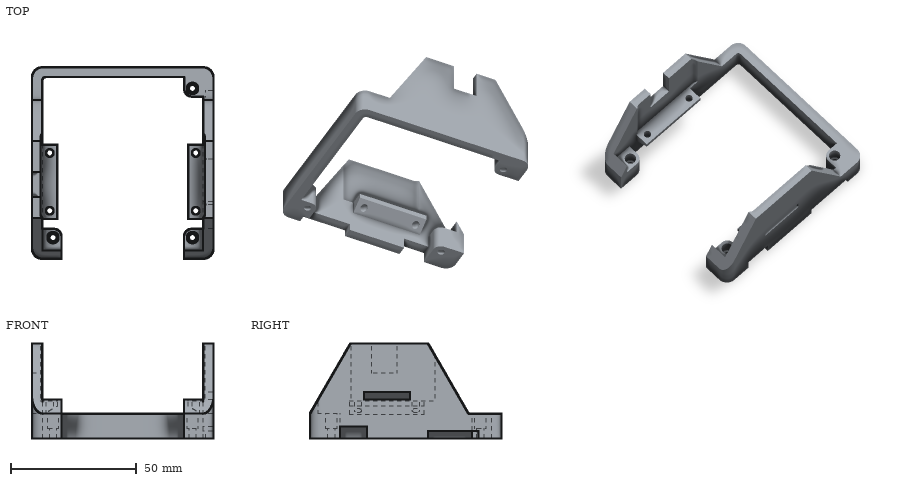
import cadquery as cq
import math

WIDTH = 72.3
LENGTH = 76.3
HEIGHT = 38.0
BASE_HEIGHT = 10.0
HALF_WIDTH = WIDTH / 2

OUTER_RADIUS = 4.25
SIDE_WALL = 4.2
BACK_WALL = 4.0
FRONT_WALL = 3.25
BACK_LEFT_RADIUS = 1.25
INNER_X = HALF_WIDTH - SIDE_WALL

CHEEK_ANGLE = 60.0
CHEEK_RUN = (HEIGHT - BASE_HEIGHT) / math.tan(math.radians(CHEEK_ANGLE))
CHEEK_BACK_Y = 63.15

FRONT_BOSS_X = HALF_WIDTH - 11.85
FRONT_BOSS_Y = 12.0
BACK_BOSS_X = HALF_WIDTH - 11.75
BACK_BOSS_Y = 64.5
BOSS_RADIUS = 3.25
BOSS_HOLE_X = HALF_WIDTH - 8.4
FRONT_BOSS_HOLE_Y = 8.45
BACK_BOSS_HOLE_Y = 67.85
SCREW_DIAMETER = 2.9
INSERT_DIAMETER = 4.5
INSERT_DEPTH = 6.0

LEDGE_TOP = 15.0
LEDGE_TIP_THICKNESS = 2.0
LEDGE_TIP_X = HALF_WIDTH - 10.15
LEDGE_FRONT_Y = 15.85
LEDGE_LENGTH = 29.6
LEDGE_ANGLE = 30.0
LEDGE_HOLE_X = HALF_WIDTH - 7.1
LEDGE_HOLE_PITCH = 23.0
LEDGE_MID_Y = LEDGE_FRONT_Y + LEDGE_LENGTH / 2

RECESS_WALL = 3.35
RECESS_X = HALF_WIDTH - RECESS_WALL
RECESS_FRONT_Y = 15.7
RECESS_BACK_Y = 50.4
RECESS_RADIUS = 2.5

NOTCH_WIDTH = 10.1
NOTCH_DEPTH = 11.85
NOTCH_MID_Y = 29.6
SLOT_LENGTH = 18.2
SLOT_HEIGHT = 3.1
SLOT_BOTTOM = 15.6

FRONT_GAP = (FRONT_BOSS_Y, 22.8)
FRONT_GAP_HEIGHT = 4.8
BACK_GAP = (47.0, 67.0)
BACK_GAP_HEIGHT = 3.0
BACK_BOSS_ROOT_X = HALF_WIDTH - 3.3


def box(x_range, y_range, z_range):
    """Axis-aligned block between the given limits."""
    lengths = [high - low for low, high in (x_range, y_range, z_range)]
    corner = (x_range[0], y_range[0], z_range[0])
    return cq.Workplane("XY").box(*lengths, centered=False).translate(corner)


def vertical_cylinder(diameter, x, y, bottom, top):
    return cq.Workplane("XY", origin=(x, y, bottom)).circle(diameter / 2).extrude(top - bottom)


def mirrored(solid):
    """The solid together with its copy on the left side."""
    return solid.union(solid.mirror("YZ"))


def frame():
    """Full-height walls with an open front, before the side profile is applied."""
    block = box((-HALF_WIDTH, HALF_WIDTH), (0, LENGTH), (0, HEIGHT)).edges("|Z").fillet(OUTER_RADIUS)
    inside = box((-INNER_X, INNER_X), (FRONT_WALL, LENGTH - BACK_WALL), (0, HEIGHT))
    inside = inside.edges("|Z and <X and >Y").fillet(BACK_LEFT_RADIUS)
    mouth = box((-FRONT_BOSS_X, FRONT_BOSS_X), (0, FRONT_WALL), (0, HEIGHT))
    return block.cut(inside).cut(mouth)


def side_profile():
    """Side outline: low frame, with cheeks that slope up to a flat top."""
    outline = [
        (0, 0),
        (LENGTH, 0),
        (LENGTH, BASE_HEIGHT),
        (CHEEK_BACK_Y, BASE_HEIGHT),
        (CHEEK_BACK_Y - CHEEK_RUN, HEIGHT),
        (CHEEK_RUN, HEIGHT),
        (0, BASE_HEIGHT),
    ]
    return cq.Workplane("YZ", origin=(-HALF_WIDTH, 0, 0)).polyline(outline).close().extrude(WIDTH)


def front_boss():
    boss = box((FRONT_BOSS_X, INNER_X), (FRONT_WALL, FRONT_BOSS_Y), (0, BASE_HEIGHT))
    return boss.edges("|Z and <X and >Y").fillet(BOSS_RADIUS)


def back_boss():
    boss = box((BACK_BOSS_X, BACK_BOSS_ROOT_X), (BACK_BOSS_Y, LENGTH - BACK_WALL), (0, BASE_HEIGHT))
    return boss.edges("|Z and <X and <Y").fillet(BOSS_RADIUS)


def boss_hole(x, y):
    """Screw hole with a wider bore for a threaded insert at the top."""
    screw = vertical_cylinder(SCREW_DIAMETER, x, y, 0, BASE_HEIGHT)
    insert = vertical_cylinder(INSERT_DIAMETER, x, y, BASE_HEIGHT - INSERT_DEPTH, BASE_HEIGHT)
    return screw.union(insert)


def ledge():
    """Right ledge: flat top and a sloping underside that meets the wall."""
    tip_bottom = LEDGE_TOP - LEDGE_TIP_THICKNESS
    root_bottom = tip_bottom - (RECESS_X - LEDGE_TIP_X) * math.tan(math.radians(LEDGE_ANGLE))
    outline = [
        (LEDGE_TIP_X, LEDGE_TOP),
        (LEDGE_TIP_X, tip_bottom),
        (RECESS_X, root_bottom),
        (RECESS_X, LEDGE_TOP),
    ]
    plane = cq.Workplane("XZ", origin=(0, LEDGE_FRONT_Y, 0))
    body = plane.polyline(outline).close().extrude(-LEDGE_LENGTH)
    for side in (-1, 1):
        hole_y = LEDGE_MID_Y + side * LEDGE_HOLE_PITCH / 2
        body = body.cut(vertical_cylinder(SCREW_DIAMETER, LEDGE_HOLE_X, hole_y, 0, LEDGE_TOP))
    return body


def recess():
    """Pocket with rounded ends on the inner face of the right cheek."""
    pocket = box((LEDGE_TIP_X, RECESS_X), (RECESS_FRONT_Y, RECESS_BACK_Y), (LEDGE_TOP, HEIGHT))
    return pocket.edges("|Z and >X").fillet(RECESS_RADIUS)


def cheek_openings():
    """Open notch in the left cheek and closed slot in the right cheek."""
    notch_y = (NOTCH_MID_Y - NOTCH_WIDTH / 2, NOTCH_MID_Y + NOTCH_WIDTH / 2)
    notch = box((-HALF_WIDTH, -INNER_X), notch_y, (HEIGHT - NOTCH_DEPTH, HEIGHT))
    slot_y = (LEDGE_MID_Y - SLOT_LENGTH / 2, LEDGE_MID_Y + SLOT_LENGTH / 2)
    slot = box((INNER_X, HALF_WIDTH), slot_y, (SLOT_BOTTOM, SLOT_BOTTOM + SLOT_HEIGHT))
    return notch.union(slot)


def bottom_gaps():
    """Gaps through the bottom edge of the right wall."""
    front = box((INNER_X, HALF_WIDTH), FRONT_GAP, (0, FRONT_GAP_HEIGHT))
    back = box((INNER_X, HALF_WIDTH), BACK_GAP, (0, BACK_GAP_HEIGHT))
    return front.union(back)


result = frame().intersect(side_profile())
result = result.cut(bottom_gaps()).cut(mirrored(recess())).cut(cheek_openings())
result = result.union(mirrored(front_boss())).union(back_boss()).union(mirrored(ledge()))
result = result.cut(mirrored(boss_hole(BOSS_HOLE_X, FRONT_BOSS_HOLE_Y)))
result = result.cut(boss_hole(BOSS_HOLE_X, BACK_BOSS_HOLE_Y))